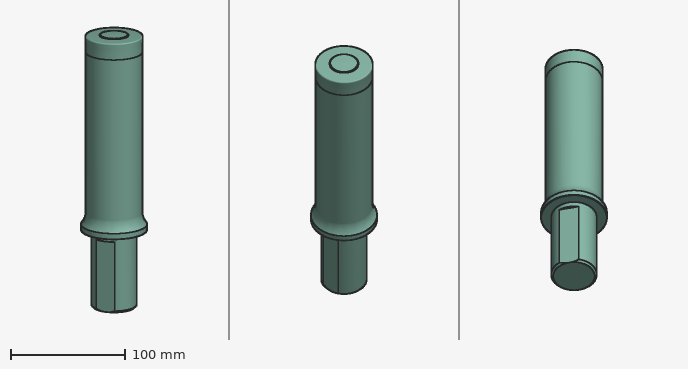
import cadquery as cq
import math

column_dia = 50.0
collar_dia = 58.0
collar_height = 5.5
collar_chamfer = 0.4
flare_top = 16.0
column_top = 163.0

flare_width = (collar_dia - column_dia) / 2
flare_height = flare_top - collar_height
flare_radius = (flare_width**2 + flare_height**2) / (2 * flare_width)

shank_dia = 40.0
shank_length = 70.0
shank_chamfer_width = 1.9
shank_chamfer_height = 2.0

flat_depth = 2.0
flat_length = 65.0

cap_rim_dia = 50.6
cap_rim_z = 176.6
cap_rounding = 1.2
face_rise = 0.3
boss_base_dia = 25.5
boss_top_dia = 24.0
boss_edge_height = 0.6
cap_top = 179.0
center_land_dia = 2.6


def make_post():
    """Revolve the column, collar and shank, then mill the shank flat."""
    column_r = column_dia / 2
    collar_r = collar_dia / 2
    shank_r = shank_dia / 2

    half_angle = math.asin(flare_height / flare_radius) / 2
    flare_mid = (
        column_r + flare_radius * (1 - math.cos(half_angle)),
        flare_top - flare_radius * math.sin(half_angle),
    )

    post = (
        cq.Workplane("XZ")
        .moveTo(0, -shank_length)
        .lineTo(shank_r - shank_chamfer_width, -shank_length)
        .lineTo(shank_r, -shank_length + shank_chamfer_height)
        .lineTo(shank_r, 0)
        .lineTo(collar_r - collar_chamfer, 0)
        .lineTo(collar_r, collar_chamfer)
        .lineTo(collar_r, collar_height)
        .threePointArc(flare_mid, (column_r, flare_top))
        .lineTo(column_r, column_top)
        .lineTo(0, column_top)
        .close()
        .revolve(360, (0, 0, 0), (0, 1, 0))
    )

    flat_cutter = (
        cq.Workplane("XY")
        .box(shank_dia, flat_depth, flat_length, centered=(True, False, False))
        .translate((0, -shank_r, -shank_length))
    )
    return post.cut(flat_cutter)


def make_cap():
    """Revolve the cap with its rounded rim and shallow conical boss."""
    rim_r = cap_rim_dia / 2
    face_edge_z = cap_rim_z + cap_rounding
    boss_base_z = face_edge_z + face_rise
    return (
        cq.Workplane("XZ")
        .moveTo(0, column_top)
        .lineTo(column_dia / 2, column_top)
        .lineTo(rim_r, cap_rim_z)
        .radiusArc((rim_r - cap_rounding, face_edge_z), -cap_rounding)
        .lineTo(boss_base_dia / 2, boss_base_z)
        .lineTo(boss_top_dia / 2, boss_base_z + boss_edge_height)
        .lineTo(center_land_dia / 2, cap_top)
        .lineTo(0, cap_top)
        .close()
        .revolve(360, (0, 0, 0), (0, 1, 0))
    )


post = make_post()
cap = make_cap()

result = cq.Compound.makeCompound([post.val(), cap.val()])